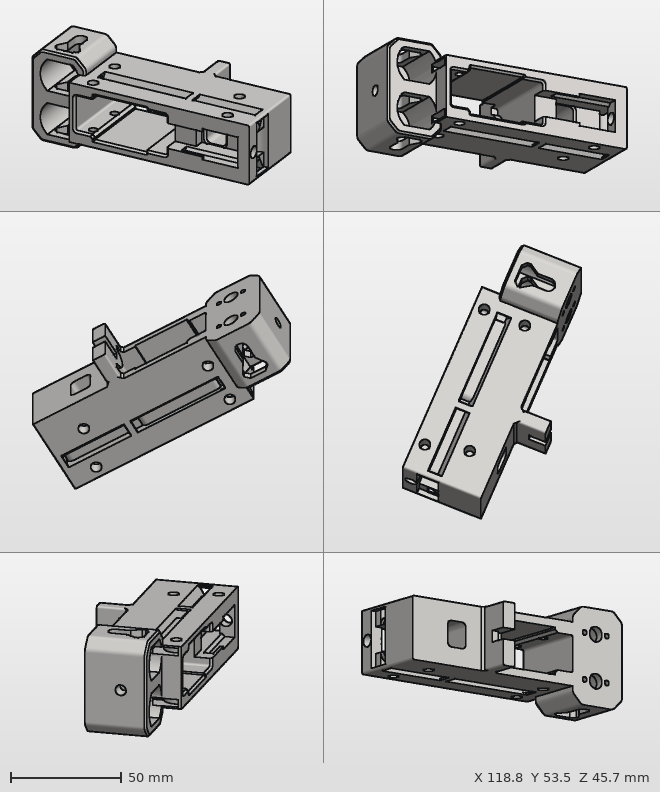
import cadquery as cq
import math


LENGTH = 118.8
HEAD_HEIGHT = 45.7
BODY_HEIGHT = 29.8
BACK_Y = 38.5
TAB_TIP_Y = 53.5
HALF_BODY = BODY_HEIGHT / 2
EDGE_BREAK = 1.0
MARGIN = 2.4

HEAD_WIDTH = 28.0
HEAD_FRONT_Y = 9.4
HEAD_CORNER = 5.0
HEAD_CORNER_ROUND = 3.0
MOTOR_X = 15.0
MOTOR_Z = 10.9
MOTOR_POCKET_RADIUS = 10.2
MOTOR_POCKET_HEIGHT = 15.8
MOTOR_FLOOR = 4.0
SHAFT_HOLE = 7.0
SCREW_HOLE = 2.4
SCREW_OFFSET = 6.3

BODY_LEFT = 25.0
BODY_END_ROUND = 1.01

CAVITY_LEFT = 28.0
CAVITY_RIGHT = 75.5
CAVITY_NARROW = 8.7
CAVITY_WIDE = 11.0
CAVITY_END = 10.1
CAVITY_LIP = 1.1
CAVITY_CORNER_ROUND = 1.1

TAB_LEFT = 72.1
TAB_WIDTH = 6.6
TAB_FLARE = 1.1
TAB_POCKET_Y = 43.0
TAB_PAD_Y = 45.0
TAB_PAD_RADIUS = 7.2
TAB_NOTCH_HEIGHT = 5.3
TAB_NOTCH_Y = 45.5
TAB_STEP_Y = 43.2

BAY_HALF = 6.3
BAY_LEFT = 86.6
BAY_STEP_Y = 8.3
BAY_BACK_Y = 13.3
BAY_END = 112.7
BAY_END_WALL_Y = 7.1
BAY_ROUND = 4.4
RECESS_LEFT = 116.3
RECESS_HALF = 13.4
GROOVE_HALF = 7.7
GROOVE_LEFT = 82.8
GROOVE_ENTRY = 94.3
GROOVE_FRONT_Y = 1.5
GROOVE_BACK_Y = 4.6
WINDOW_X = 93.7
WINDOW_WIDTH = 10.3
WINDOW_HEIGHT = 12.4
WINDOW_ROUND = 2.4
WINDOW_BEVEL = 1.0

DUCT_FLOOR = 10.5
DUCT_CEILING = 14.0
DUCT_FRONT_Y = 11.2
DUCT_BACK_Y = 18.0
DUCT_SLOPE = math.tan(math.radians(30))
DUCT_LEAN = (HALF_BODY - DUCT_FLOOR) * DUCT_SLOPE
DUCT_LEFT = 33.6
DUCT_ROUND = 3.7
SLOTS = ((DUCT_LEFT, 79.5), (82.9, 115.5))
HUMP_FLOOR = 12.0
HUMP_LEFT = 35.2
HUMP_RIGHT = 76.7
HUMP_ROUND = 3.0
OUTLET_FRONT_Y = 1.5
OUTLET_BACK_Y = 12.7
OUTLET_X = 29.1
OUTLET_ROUND = 6.8
OUTLET_END = OUTLET_X + OUTLET_ROUND

INSERT_RADIUS = 2.5
INSERT_TIP_RADIUS = 2.0
INSERT_DEPTH = HALF_BODY - CAVITY_NARROW
INSERT_POINTS = ((34.7, 5.1), (34.7, 25.0), (99.6, 25.0), (104.6, 5.1))
HEAD_INSERT_Y = 21.5
END_HOLE_Y = 4.2
END_HOLE_RADIUS = 2.8


def box(x0, x1, y0, y1, z0, z1):
    return cq.Workplane("XY").box(x1 - x0, y1 - y0, z1 - z0, centered=False).translate((x0, y0, z0))


def level_box(x0, x1, y0, y1, half_height):
    """Box centred on z = 0."""
    return box(x0, x1, y0, y1, -half_height, half_height)


def front_plane(y):
    """Sketch plane facing -Y, so negative extrusions run into the part."""
    return cq.Workplane("XZ", origin=(0, y, 0))


def both_sides(shape):
    return shape.union(shape.mirror("XY"))


def keyhole():
    """Hanging slot: a narrow round-ended neck over a wide mouth."""
    neck, neck_top, neck_base = 3.1, 28.5, 22.0
    mouth, mouth_top, mouth_low = 6.0, 17.3, 15.7
    base, base_y = 3.9, 13.7
    return (
        cq.Workplane("XY", origin=(MOTOR_X, 0, -HEAD_HEIGHT))
        .moveTo(-base, base_y)
        .lineTo(base, base_y)
        .lineTo(mouth, mouth_low)
        .lineTo(mouth, mouth_top)
        .lineTo(neck, neck_base)
        .lineTo(neck, neck_top)
        .threePointArc((0, neck_top + neck), (-neck, neck_top))
        .lineTo(-neck, neck_base)
        .lineTo(-mouth, mouth_top)
        .lineTo(-mouth, mouth_low)
        .close()
        .extrude(2 * HEAD_HEIGHT)
    )


def motor_head():
    depth = BACK_Y - HEAD_FRONT_Y
    head = level_box(0, HEAD_WIDTH, HEAD_FRONT_Y, BACK_Y, HEAD_HEIGHT / 2)
    head = head.edges("|Y").chamfer(HEAD_CORNER).edges("|Y").fillet(HEAD_CORNER_ROUND)
    head = head.faces("<Y").chamfer(EDGE_BREAK)
    for z in (-MOTOR_Z, MOTOR_Z):
        centre = front_plane(HEAD_FRONT_Y).center(MOTOR_X, z)
        pocket = centre.circle(MOTOR_POCKET_RADIUS).extrude(MOTOR_FLOOR - depth)
        flat = centre.rect(2 * MOTOR_POCKET_RADIUS, MOTOR_POCKET_HEIGHT).extrude(MOTOR_FLOOR - depth)
        shaft_hole = centre.circle(SHAFT_HOLE / 2).extrude(-depth)
        screws = centre.pushPoints([(-SCREW_OFFSET, 0), (SCREW_OFFSET, 0)])
        screws = screws.circle(SCREW_HOLE / 2).extrude(-depth)
        head = head.cut(pocket.intersect(flat)).cut(shaft_hole).cut(screws)
    return head.cut(keyhole())


def body():
    block = level_box(BODY_LEFT, LENGTH, 0, BACK_Y, HALF_BODY)
    return block.edges("|Y and >X").fillet(BODY_END_ROUND)


def tab():
    """Rear tab with flared root and a stepped notch in its tip."""
    right = TAB_LEFT + TAB_WIDTH
    blade = level_box(TAB_LEFT, right, BACK_Y - MARGIN, TAB_TIP_Y, HALF_BODY)
    blade = blade.edges("|Y").fillet(EDGE_BREAK)
    root = (
        cq.Workplane("XY", origin=(0, 0, -HALF_BODY))
        .moveTo(TAB_LEFT - TAB_FLARE, BACK_Y)
        .lineTo(right + TAB_FLARE, BACK_Y)
        .lineTo(right - EDGE_BREAK, BACK_Y + TAB_FLARE + EDGE_BREAK)
        .lineTo(TAB_LEFT + EDGE_BREAK, BACK_Y + TAB_FLARE + EDGE_BREAK)
        .close()
        .extrude(BODY_HEIGHT)
    )
    notch = level_box(TAB_LEFT, right, TAB_NOTCH_Y, TAB_TIP_Y, TAB_NOTCH_HEIGHT / 2)
    step = level_box(TAB_LEFT, TAB_LEFT + TAB_WIDTH / 2, TAB_STEP_Y, TAB_TIP_Y, TAB_NOTCH_HEIGHT / 2)
    return blade.union(root).cut(notch).cut(step)


def cavity():
    """Battery bay with a bevelled mouth; its far end reaches into the tab around a round pad."""
    step_start, step_end, end_start = 36.6, 38.0, 65.1
    upper = [
        (CAVITY_LEFT, CAVITY_NARROW),
        (step_start, CAVITY_NARROW),
        (step_end, CAVITY_NARROW + step_end - step_start),
        (step_end, CAVITY_WIDE),
        (end_start, CAVITY_WIDE),
        (end_start, CAVITY_END),
        (CAVITY_RIGHT, CAVITY_END),
    ]
    outline = upper + [(x, -z) for x, z in reversed(upper)]
    hollow = front_plane(0).polyline(outline).close().extrude(-TAB_POCKET_Y)
    hollow = hollow.edges("|Y and (<X or >X)").fillet(CAVITY_CORNER_ROUND)
    rim = hollow.faces("<Y").wires().val()
    mouth = cq.Workplane("XZ").add(rim).toPending().extrude(CAVITY_LIP, taper=-45)
    mouth = mouth.translate((0, CAVITY_LIP, 0))
    pad = (
        cq.Workplane("YZ", origin=(TAB_LEFT, 0, 0))
        .center(TAB_PAD_Y, 0)
        .circle(TAB_PAD_RADIUS)
        .extrude(CAVITY_RIGHT - TAB_LEFT)
    )
    return hollow.cut(pad).union(mouth)


def switch_bay():
    """Stepped bay with side grooves, a rear window and an outlet through the end face."""
    slope = GROOVE_HALF - BAY_HALF
    shallow = level_box(CAVITY_RIGHT - MARGIN, BAY_LEFT, 0, BAY_STEP_Y, BAY_HALF)
    deep = level_box(BAY_LEFT, BAY_END, 0, BAY_BACK_Y, BAY_HALF)
    entry = level_box(GROOVE_ENTRY, BAY_END, 0, GROOVE_BACK_Y, GROOVE_HALF)
    groove = (
        cq.Workplane("YZ", origin=(GROOVE_LEFT, 0, 0))
        .polyline(
            [
                (GROOVE_FRONT_Y, -GROOVE_HALF),
                (GROOVE_BACK_Y, -GROOVE_HALF),
                (GROOVE_BACK_Y + slope, -BAY_HALF),
                (GROOVE_BACK_Y + slope, BAY_HALF),
                (GROOVE_BACK_Y, GROOVE_HALF),
                (GROOVE_FRONT_Y, GROOVE_HALF),
            ]
        )
        .close()
        .extrude(BAY_END - GROOVE_LEFT)
    )
    passage = level_box(BAY_END - MARGIN, LENGTH, BAY_END_WALL_Y, BAY_BACK_Y, BAY_HALF)
    recess = level_box(RECESS_LEFT, LENGTH, BAY_END_WALL_Y, BAY_BACK_Y + BAY_ROUND, RECESS_HALF)
    flare = (
        cq.Workplane("XY", origin=(0, 0, -BAY_HALF))
        .moveTo(RECESS_LEFT, BAY_BACK_Y)
        .lineTo(RECESS_LEFT, BAY_BACK_Y + BAY_ROUND)
        .radiusArc((RECESS_LEFT - BAY_ROUND, BAY_BACK_Y), -BAY_ROUND)
        .close()
        .extrude(2 * BAY_HALF)
    )
    window = front_plane(BAY_BACK_Y).center(WINDOW_X, 0).rect(WINDOW_WIDTH, WINDOW_HEIGHT)
    window = window.extrude(BAY_BACK_Y - BACK_Y).edges("|Y").fillet(WINDOW_ROUND)
    rim = window.faces("<Y").wires().val()
    bevel = cq.Workplane("XZ").add(rim).toPending().extrude(WINDOW_BEVEL, taper=-45)
    bevel = bevel.translate((0, WINDOW_BEVEL, 0))
    bay = shallow.union(deep).union(entry).union(groove).union(passage).union(recess).union(flare)
    return bay.union(window).union(bevel)


def duct():
    """Wire duct inside the top wall: leaning back wall, two open slots and a turned-out left end."""
    low_z = DUCT_FLOOR - DUCT_ROUND
    low_lean = (HALF_BODY - low_z) * DUCT_SLOPE
    channel = (
        cq.Workplane("YZ", origin=(DUCT_LEFT, 0, 0))
        .moveTo(DUCT_FRONT_Y, HALF_BODY)
        .lineTo(DUCT_BACK_Y, HALF_BODY)
        .lineTo(DUCT_BACK_Y - low_lean, low_z)
        .lineTo(DUCT_FRONT_Y, low_z)
        .close()
        .extrude(LENGTH - DUCT_LEFT)
    )
    tunnel = box(DUCT_LEFT, RECESS_LEFT, 0, BACK_Y, DUCT_FLOOR, DUCT_CEILING)
    for start, end in SLOTS:
        tunnel = tunnel.union(box(start, end, 0, BACK_Y, DUCT_FLOOR, HALF_BODY))

    rise = HUMP_FLOOR - DUCT_FLOOR
    hump = (
        front_plane(0)
        .moveTo(HUMP_LEFT, DUCT_FLOOR)
        .lineTo(HUMP_LEFT + rise, HUMP_FLOOR)
        .lineTo(HUMP_RIGHT - rise, HUMP_FLOOR)
        .lineTo(HUMP_RIGHT, DUCT_FLOOR)
        .close()
        .extrude(-BACK_Y)
        .edges("|Y and >Z")
        .fillet(HUMP_ROUND)
    )
    drop = (
        front_plane(0)
        .moveTo(RECESS_LEFT, DUCT_FLOOR)
        .lineTo(RECESS_LEFT, DUCT_FLOOR - DUCT_ROUND)
        .radiusArc((RECESS_LEFT - DUCT_ROUND, DUCT_FLOOR), -DUCT_ROUND)
        .close()
        .extrude(-BACK_Y)
    )
    outlet_mouth = BODY_LEFT - EDGE_BREAK
    turn_y = DUCT_BACK_Y - DUCT_LEAN
    turn_x = outlet_mouth + turn_y - OUTLET_BACK_Y
    outlet = (
        cq.Workplane("XY", origin=(0, 0, DUCT_FLOOR))
        .moveTo(outlet_mouth, OUTLET_FRONT_Y)
        .lineTo(OUTLET_X, OUTLET_FRONT_Y)
        .lineTo(OUTLET_X, DUCT_FRONT_Y - OUTLET_ROUND)
        .radiusArc((OUTLET_END, DUCT_FRONT_Y), OUTLET_ROUND)
        .lineTo(OUTLET_END, turn_y)
        .lineTo(turn_x, turn_y)
        .lineTo(outlet_mouth, OUTLET_BACK_Y)
        .close()
        .extrude(DUCT_CEILING - DUCT_FLOOR)
    )
    return channel.intersect(tunnel.cut(hump).union(drop)).union(outlet)


def insert_hole(mouth, direction):
    """Tapered blind hole starting at the mouth point."""
    cone = cq.Solid.makeCone(
        INSERT_RADIUS, INSERT_TIP_RADIUS, INSERT_DEPTH, cq.Vector(*mouth), cq.Vector(*direction)
    )
    return cq.Workplane(cone)


def end_hole():
    """Plain hole through the end wall of the switch bay."""
    plane = cq.Workplane("YZ", origin=(BAY_END, 0, 0))
    return plane.center(END_HOLE_Y, 0).circle(END_HOLE_RADIUS).extrude(LENGTH - BAY_END)


result = motor_head().union(body()).union(tab())
result = result.cut(cavity()).cut(switch_bay()).cut(both_sides(duct()))
for x, y in INSERT_POINTS:
    result = result.cut(both_sides(insert_hole((x, y, HALF_BODY), (0, 0, -1))))
result = result.cut(insert_hole((0, HEAD_INSERT_Y, 0), (1, 0, 0)))
result = result.cut(end_hole())